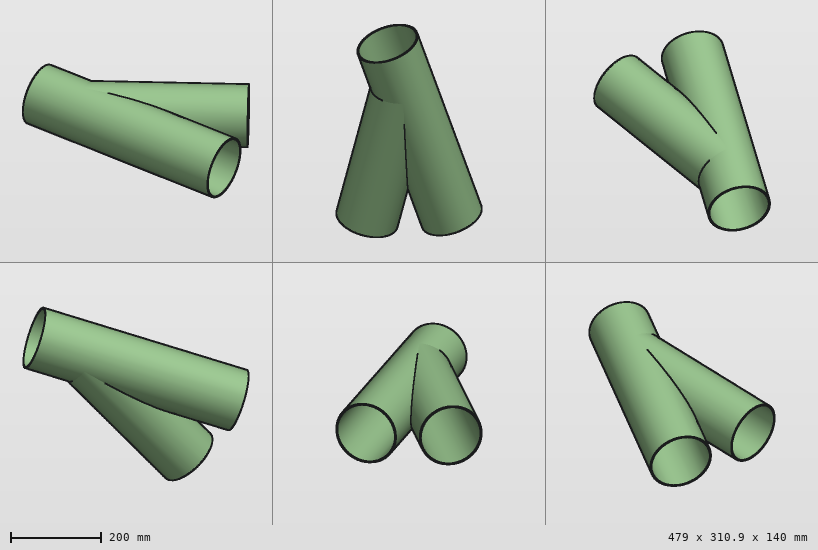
import cadquery as cq
import math

main_length = 479.0
outer_diameter = 140.0
bore_diameter = 133.5
branch_angle = 30.0
branch_length = 360.5
branch_start = 118.0

outer_radius = outer_diameter / 2
bore_radius = bore_diameter / 2

angle = math.radians(branch_angle)
branch_direction = cq.Vector(math.cos(angle), math.sin(angle), 0)
axes_crossing = cq.Vector(branch_start, 0, 0)


def main_cylinder(radius):
    """Cylinder along the full main pipe."""
    return cq.Workplane("YZ").circle(radius).extrude(main_length)


def branch_cylinder(radius):
    """Cylinder along the branch, starting where the two axes cross."""
    plane = cq.Plane(origin=axes_crossing, xDir=(0, 0, 1), normal=branch_direction)
    return cq.Workplane(plane).circle(radius).extrude(branch_length)


body = main_cylinder(outer_radius).union(branch_cylinder(outer_radius))
result = body.cut(main_cylinder(bore_radius)).cut(branch_cylinder(bore_radius))